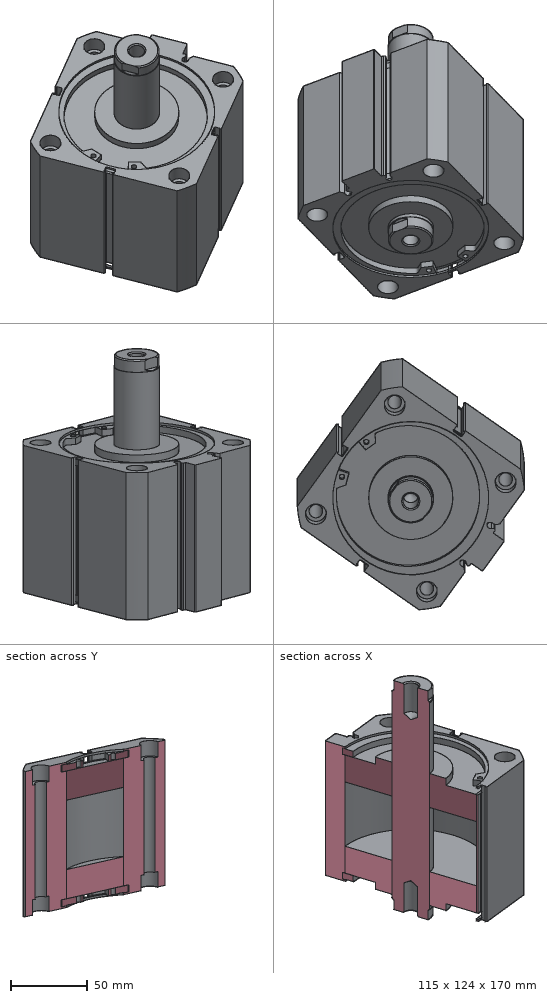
import cadquery as cq
import math


HOUSING_WIDTH = 115.0
HOUSING_HEIGHT = 100.0
FLAT_HALF_LENGTH = 47.5
BORE_RADIUS = 51.0
RAIL_FACE_Y = 66.5
RAIL_HALF_WIDTH = 12.4
RAIL_EDGE_CHAMFER = 0.5

BOLT_HALF_PITCH = 44.5
BOLT_RADIUS = 4.5
COUNTERBORE_RADIUS = 6.8
COUNTERBORE_DEPTH = 10.5

SLOT_DEPTH = 5.0
SLOT_HALF_WIDTH = 3.4
SLOT_MOUTH_HALF_WIDTH = 3.0
SLOT_NECK_HALF_WIDTH = 2.4
SLOT_LIP_DEPTH = 1.0
SLOT_FLOOR_CHAMFER = 0.5

GROOVE_X = 15.5
GROOVE_RADIUS = 2.0
GROOVE_CENTRE_DEPTH = 4.6
GROOVE_MOUTH_X = 19.7
GROOVE_SLOPE_DEPTH = 2.5
NOSE_ROOT_X = 14.1
NOSE_TIP_X = 15.1
NOSE_TIP_DEPTH = 1.4
NOSE_NECK_X = 14.5
NOSE_NECK_DEPTH = 2.7

RING_RADIUS = 53.0
RING_INNER_RADIUS = 47.0
RING_INNER_OFFSET = 2.2
RING_THICKNESS = 4.5
RING_INSET = 1.5
RING_TURN = -0.8
LUG_GAP_INNER = (9.5, -42.5)
LUG_GAP_OUTER_ANGLE = 13.1
LUG_TIP = (17.0, -39.8)
LUG_ROOT_X = 22.1
LUG_FILLET = 2.0
LUG_HOLE = (14.1, -45.0)
LUG_HOLE_RADIUS = 1.7

COVER_THICKNESS = 20.4
COVER_BOSS_RADIUS = 27.5
COVER_BOSS_HEIGHT = 5.1

ROD_RADIUS = 15.0
ROD_TOP_PROJECTION = 60.0
ROD_LENGTH = 170.0
ROD_END_RADIUS = 14.6
ROD_END_LENGTH = 8.3
ROD_END_CHAMFER = 0.8
FLAT_HALF_DISTANCE = 13.5
FLAT_LENGTH = 7.0
TAP_RADIUS = 5.1
TAP_DEPTH = 22.1
TAP_CHAMFER = 0.8
DRILL_POINT_ANGLE = 118.0

HALF_WIDTH = HOUSING_WIDTH / 2
COVER_SEAT = RING_INSET + RING_THICKNESS
ROD_TOP = HOUSING_HEIGHT + ROD_TOP_PROJECTION
ROD_BOTTOM = ROD_TOP - ROD_LENGTH
MID_HEIGHT = HOUSING_HEIGHT / 2


def mirrored_end(shape, mid_z):
    """Copy a shape from the top end to the bottom end."""
    return shape.mirror("XY", (0, 0, mid_z))


def t_slot(angle):
    """Cutter for a T-slot, drawn on the -Y side and turned about Z."""
    face = -HALF_WIDTH
    half = [
        (SLOT_MOUTH_HALF_WIDTH, face),
        (SLOT_NECK_HALF_WIDTH, face + SLOT_LIP_DEPTH),
        (SLOT_HALF_WIDTH, face + SLOT_LIP_DEPTH),
        (SLOT_HALF_WIDTH, face + SLOT_DEPTH - SLOT_FLOOR_CHAMFER),
        (SLOT_HALF_WIDTH - SLOT_FLOOR_CHAMFER, face + SLOT_DEPTH),
    ]
    outline = half + [(-x, y) for x, y in reversed(half)]
    slot = cq.Workplane("XY").polyline(outline).close().extrude(HOUSING_HEIGHT)
    return slot.rotate((0, 0, 0), (0, 0, 1), angle)


def rail_groove():
    """Cutter for the undercut groove on the +X side of the rail."""
    face = HALF_WIDTH
    centre_y = face - GROOVE_CENTRE_DEPTH
    throat_x = GROOVE_X + GROOVE_RADIUS
    mouth = (
        cq.Workplane("XY")
        .moveTo(NOSE_ROOT_X, face)
        .lineTo(NOSE_TIP_X, face - NOSE_TIP_DEPTH / 2)
        .lineTo(NOSE_TIP_X, face - NOSE_TIP_DEPTH)
        .lineTo(NOSE_NECK_X, face - NOSE_NECK_DEPTH)
        .lineTo(GROOVE_X, centre_y)
        .lineTo(throat_x, centre_y)
        .lineTo(throat_x, face - GROOVE_SLOPE_DEPTH)
        .lineTo(GROOVE_MOUTH_X, face)
        .close()
        .extrude(HOUSING_HEIGHT)
    )
    pocket = cq.Workplane("XY").center(GROOVE_X, centre_y).circle(GROOVE_RADIUS).extrude(HOUSING_HEIGHT)
    return mouth.union(pocket)


def make_housing():
    corner_radius = math.hypot(HALF_WIDTH, FLAT_HALF_LENGTH)
    body = cq.Workplane("XY").rect(HOUSING_WIDTH, HOUSING_WIDTH).extrude(HOUSING_HEIGHT)
    body = body.intersect(cq.Workplane("XY").circle(corner_radius).extrude(HOUSING_HEIGHT))

    rail = (
        cq.Workplane("XY")
        .box(2 * RAIL_HALF_WIDTH, RAIL_FACE_Y - BORE_RADIUS, HOUSING_HEIGHT, centered=(True, False, False))
        .translate((0, BORE_RADIUS, 0))
        .edges("|Z and >Y")
        .chamfer(RAIL_EDGE_CHAMFER)
    )
    body = body.union(rail)

    for angle in (-90, 0, 90):
        body = body.cut(t_slot(angle))
    groove = rail_groove()
    body = body.cut(groove).cut(groove.mirror("YZ"))

    body = body.cut(cq.Workplane("XY").circle(BORE_RADIUS).extrude(HOUSING_HEIGHT))
    ring_groove = (
        cq.Workplane("XY", origin=(0, 0, HOUSING_HEIGHT - COVER_SEAT))
        .circle(RING_RADIUS)
        .extrude(RING_THICKNESS)
    )
    body = body.cut(ring_groove).cut(mirrored_end(ring_groove, MID_HEIGHT))

    pitch = 2 * BOLT_HALF_PITCH
    holes = cq.Workplane("XY").rect(pitch, pitch, forConstruction=True).vertices()
    holes = holes.circle(BOLT_RADIUS).extrude(HOUSING_HEIGHT)
    counterbores = (
        cq.Workplane("XY", origin=(0, 0, HOUSING_HEIGHT - COUNTERBORE_DEPTH))
        .rect(pitch, pitch, forConstruction=True)
        .vertices()
        .circle(COUNTERBORE_RADIUS)
        .extrude(COUNTERBORE_DEPTH)
    )
    return body.cut(holes).cut(counterbores).cut(mirrored_end(counterbores, MID_HEIGHT))


def make_retaining_ring(bottom_z):
    """Open ring with an offset inner edge and two plier lugs at the gap."""
    gap_angle = math.radians(LUG_GAP_OUTER_ANGLE)
    gap_x = RING_RADIUS * math.sin(gap_angle)
    gap_y = -RING_RADIUS * math.cos(gap_angle)
    inner_x, inner_y = LUG_GAP_INNER
    tip_x, tip_y = LUG_TIP
    root_y = -RING_INNER_OFFSET - math.sqrt(RING_INNER_RADIUS**2 - LUG_ROOT_X**2)
    inner_top_y = RING_INNER_RADIUS - RING_INNER_OFFSET

    ring = (
        cq.Workplane("XY", origin=(0, 0, bottom_z))
        .moveTo(gap_x, gap_y)
        .threePointArc((0, RING_RADIUS), (-gap_x, gap_y))
        .lineTo(-inner_x, inner_y)
        .lineTo(-tip_x, tip_y)
        .lineTo(-LUG_ROOT_X, root_y)
        .threePointArc((0, inner_top_y), (LUG_ROOT_X, root_y))
        .lineTo(tip_x, tip_y)
        .lineTo(inner_x, inner_y)
        .close()
        .extrude(RING_THICKNESS)
    )
    mid_z = bottom_z + RING_THICKNESS / 2
    for side in (-1, 1):
        root = cq.selectors.NearestToPointSelector((side * LUG_ROOT_X, root_y, mid_z))
        ring = ring.edges(root).fillet(LUG_FILLET)

    hole_x, hole_y = LUG_HOLE
    holes = (
        cq.Workplane("XY", origin=(0, 0, bottom_z))
        .pushPoints([(hole_x, hole_y), (-hole_x, hole_y)])
        .circle(LUG_HOLE_RADIUS)
        .extrude(RING_THICKNESS)
    )
    return ring.cut(holes).rotate((0, 0, 0), (0, 0, 1), RING_TURN)


def make_top_cover():
    """Rod cover: a disc seated under the ring, with a raised boss around the rod."""
    seat_z = HOUSING_HEIGHT - COVER_SEAT
    disc = (
        cq.Workplane("XY", origin=(0, 0, seat_z - COVER_THICKNESS))
        .circle(BORE_RADIUS)
        .extrude(COVER_THICKNESS)
    )
    boss = cq.Workplane("XY", origin=(0, 0, seat_z)).circle(COVER_BOSS_RADIUS).extrude(COVER_BOSS_HEIGHT)
    rod_hole = cq.Workplane("XY").circle(ROD_RADIUS).extrude(HOUSING_HEIGHT)
    return disc.union(boss).cut(rod_hole)


def wrench_flat():
    """Cutter for the flat on the +Y side of the rod's top end, with a 45 degree run-out."""
    flat_bottom = ROD_TOP - FLAT_LENGTH
    reach = ROD_RADIUS - FLAT_HALF_DISTANCE
    return (
        cq.Workplane("YZ")
        .moveTo(FLAT_HALF_DISTANCE, ROD_TOP)
        .lineTo(FLAT_HALF_DISTANCE, flat_bottom)
        .lineTo(ROD_RADIUS, flat_bottom - reach)
        .lineTo(ROD_RADIUS, ROD_TOP)
        .close()
        .extrude(ROD_RADIUS, both=True)
    )


def tapped_hole():
    """Cutter for the chamfered blind hole, with a drill point, in the rod's top end."""
    point_depth = TAP_RADIUS / math.tan(math.radians(DRILL_POINT_ANGLE / 2))
    return (
        cq.Workplane("XZ")
        .moveTo(0, ROD_TOP)
        .lineTo(TAP_RADIUS + TAP_CHAMFER, ROD_TOP)
        .lineTo(TAP_RADIUS, ROD_TOP - TAP_CHAMFER)
        .lineTo(TAP_RADIUS, ROD_TOP - TAP_DEPTH)
        .lineTo(0, ROD_TOP - TAP_DEPTH - point_depth)
        .close()
        .revolve(360, (0, 0, 0), (0, 1, 0))
    )


def make_rod():
    shank = (
        cq.Workplane("XY", origin=(0, 0, ROD_BOTTOM + ROD_END_LENGTH))
        .circle(ROD_RADIUS)
        .extrude(ROD_LENGTH - 2 * ROD_END_LENGTH)
    )
    core = (
        cq.Workplane("XY", origin=(0, 0, ROD_BOTTOM))
        .circle(ROD_END_RADIUS)
        .extrude(ROD_LENGTH)
        .faces("<Z or >Z")
        .chamfer(ROD_END_CHAMFER)
    )
    rod = shank.union(core)

    rod_mid = (ROD_TOP + ROD_BOTTOM) / 2
    flat = wrench_flat()
    hole = tapped_hole()
    for cutter in (flat, flat.mirror("XZ"), hole):
        rod = rod.cut(cutter).cut(mirrored_end(cutter, rod_mid))
    return rod


housing = make_housing()
rod = make_rod()

top_cover = make_top_cover()
covers = [top_cover, mirrored_end(top_cover, MID_HEIGHT)]

ring_heights = (RING_INSET, HOUSING_HEIGHT - COVER_SEAT)
rings = [make_retaining_ring(z) for z in ring_heights]

result = cq.Compound.makeCompound(
    [
        housing.val(),
        rod.val(),
        *[cover.val() for cover in covers],
        *[ring.val() for ring in rings],
    ]
)